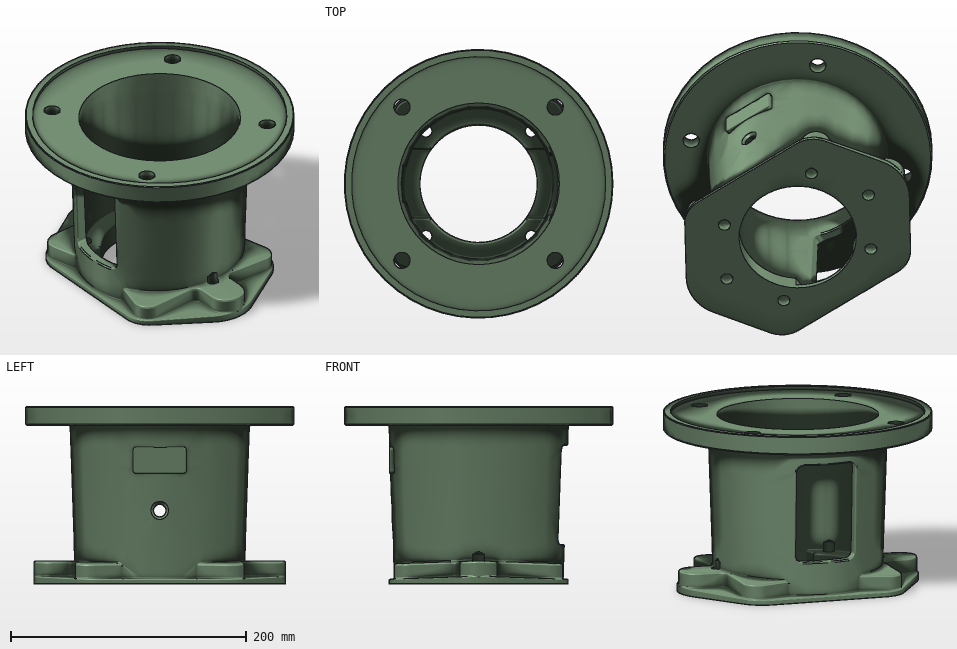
import cadquery as cq
import math

height = 150.9
touch = 0.02

flange_radius = 114.3
flange_thickness = 16.0
flange_lower_chamfer = 1.1
flange_upper_chamfer = 0.7
recess_radius = 108.1
recess_depth = 2.7
flange_hole_radius = 6.9
flange_hole_offset = 65.2
flange_joint_fillet = 1.1

wall_bottom_radius = 71.8
wall_top_radius = 76.4
cavity_bottom_radius = 63.0
cavity_top_radius = 68.8

base_draft = math.tan(math.radians(2))
plate_ridge_height = 6.6
plate_side_radius = 25.4
plate_side_x = 50.7
plate_side_y = 51.0
plate_end_radius = 37.5
plate_end_y = 107.0
plate_edge_fillet = 1.0
pilot_bore_radius = 49.8

pad_ridge_height = 19.7
pad_inner_y = 29.3
pad_corner_radius = 12.8
pad_corner_centre = 58.8
pad_side_tilt = math.radians(15)
pad_edge_fillet = 2.0
ear_radius = 15.8
ear_neck_radius = 6.5
base_joint_fillet = 1.1

bolt_hole_radius = 5.0
bolt_hole_depth = 25.1
drill_point_depth = 2.7
corner_bolt_offset = 44.8
ear_bolt_y = 73.0

window_bottom = 33.5
window_top = 118.0
window_width = 53.0
window_corner_radius = 6.0
window_rim_fillet = 1.1

port_z = 62.5
port_radius = 5.3
port_mouth_radius = 7.8

plaque_face_x = -76.0
plaque_depth = 6.0
plaque_width = 45.3
plaque_bottom = 94.0
plaque_top = 116.5
plaque_corner_radius = 2.7
plaque_edge_fillet = 1.1

flange_bottom = height - flange_thickness
window_middle = (window_bottom + window_top) / 2
plaque_middle = (plaque_bottom + plaque_top) / 2
SIGNS = (-1, 1)
CORNERS = [(sx, sy) for sx in SIGNS for sy in SIGNS]


def join(first, second, radius):
    """Fuse two solids and round the corners along which they meet."""

    def is_seam(edge):
        middle = cq.Vertex.makeVertex(*edge.positionAt(0.5).toTuple())
        if middle.Z < touch:
            return False
        return all(part.val().distance(middle) < touch for part in (first, second))

    whole = first.union(second)
    seams = [edge for edge in whole.edges().vals() if is_seam(edge)]
    return whole.newObject(seams).fillet(radius)


def cone(bottom_radius, top_radius, top_z):
    return (
        cq.Workplane("XZ")
        .polyline([(0, 0), (bottom_radius, 0), (top_radius, top_z), (0, top_z)])
        .close()
        .revolve(360, (0, 0, 0), (0, 1, 0))
    )


def flange_disc():
    return (
        cq.Workplane("XY", origin=(0, 0, flange_bottom))
        .circle(flange_radius)
        .extrude(flange_thickness)
        .faces("<Z").edges().chamfer(flange_lower_chamfer)
        .faces(">Z").edges().chamfer(flange_upper_chamfer)
    )


def flange_recess():
    return (
        cq.Workplane("XY", origin=(0, 0, height - recess_depth))
        .circle(recess_radius)
        .extrude(recess_depth)
    )


def flange_holes():
    centres = [(sx * flange_hole_offset, sy * flange_hole_offset) for sx, sy in CORNERS]
    return (
        cq.Workplane("XY", origin=(0, 0, flange_bottom))
        .pushPoints(centres)
        .circle(flange_hole_radius)
        .extrude(flange_thickness)
    )


def window():
    return (
        cq.Workplane("YZ", origin=(0, 0, window_middle))
        .rect(window_width, window_top - window_bottom)
        .extrude(flange_radius)
        .edges("|X").fillet(window_corner_radius)
    )


def housing():
    outside = cone(wall_bottom_radius, wall_top_radius, flange_bottom).union(flange_disc())
    joint = cq.selectors.RadiusNthSelector(1)
    outside = outside.edges(joint).fillet(flange_joint_fillet)
    hollow = (
        outside
        .cut(cone(cavity_bottom_radius, cavity_top_radius, height))
        .cut(flange_recess())
        .cut(flange_holes())
        .cut(window())
    )
    rims = cq.selectors.BoxSelector(
        (cavity_bottom_radius / 2, -window_width / 2 - touch, window_bottom - touch),
        (wall_top_radius, window_width / 2 + touch, window_top + touch),
    )
    return hollow.edges(rims).edges("not |X").fillet(window_rim_fillet)


def roof(ridge_height):
    """Slab whose top falls away on both sides of a ridge along the Y axis."""
    side_height = ridge_height - base_draft * flange_radius
    return (
        cq.Workplane("XZ")
        .polyline([
            (-flange_radius, 0),
            (flange_radius, 0),
            (flange_radius, side_height),
            (0, ridge_height),
            (-flange_radius, side_height),
        ])
        .close()
        .extrude(flange_radius, both=True)
    )


def round_top_outline(solid, radius):
    """Round the edges around a roof-shaped top, but not its ridge or its foot."""

    def is_outline(edge):
        middle = edge.positionAt(0.5)
        return middle.z > touch and abs(middle.x) > touch

    outline = [edge for edge in solid.edges("not |Z").vals() if is_outline(edge)]
    return solid.newObject(outline).fillet(radius)


def pilot_bore():
    return cq.Workplane("XY").circle(pilot_bore_radius).extrude(pad_ridge_height)


def plate():
    discs = cq.Sketch()
    for sx, sy in CORNERS:
        discs = discs.arc((sx * plate_side_x, sy * plate_side_y), plate_side_radius, 0, 360)
    for sy in SIGNS:
        discs = discs.arc((0, sy * (plate_end_y - plate_end_radius)), plate_end_radius, 0, 360)
    blank = cq.Workplane("XY").placeSketch(discs.hull()).extrude(plate_ridge_height)
    solid = blank.intersect(roof(plate_ridge_height))
    return round_top_outline(solid, plate_edge_fillet).cut(pilot_bore())


def corner_point(angle):
    """Point on the round pad corner at +X +Y."""
    return (
        pad_corner_centre + pad_corner_radius * math.cos(angle),
        pad_corner_centre + pad_corner_radius * math.sin(angle),
    )


def pad():
    """Raised pad on the +Y side: two corner lobes joined by the ear."""
    side_x, side_y = corner_point(-pad_side_tilt)
    corner_x, corner_y = corner_point((math.radians(90) - pad_side_tilt) / 2)
    shoulder_y = pad_corner_centre + pad_corner_radius
    foot_x = side_x - (side_y - pad_inner_y) * math.tan(pad_side_tilt)
    ear_centre_y = plate_end_y - ear_radius
    neck_x = ear_radius + ear_neck_radius
    neck_y = shoulder_y + ear_neck_radius
    outline = (
        cq.Workplane("XY")
        .moveTo(-foot_x, pad_inner_y)
        .lineTo(foot_x, pad_inner_y)
        .lineTo(side_x, side_y)
        .threePointArc((corner_x, corner_y), (pad_corner_centre, shoulder_y))
        .lineTo(neck_x, shoulder_y)
        .radiusArc((ear_radius, neck_y), ear_neck_radius)
        .lineTo(ear_radius, ear_centre_y)
        .threePointArc((0, plate_end_y), (-ear_radius, ear_centre_y))
        .lineTo(-ear_radius, neck_y)
        .radiusArc((-neck_x, shoulder_y), ear_neck_radius)
        .lineTo(-pad_corner_centre, shoulder_y)
        .threePointArc((-corner_x, corner_y), (-side_x, side_y))
        .close()
    )
    solid = outline.extrude(pad_ridge_height).intersect(roof(pad_ridge_height)).cut(pilot_bore())
    return round_top_outline(solid, pad_edge_fillet)


def base():
    one_pad = join(plate(), pad(), base_joint_fillet)
    return join(one_pad, pad().mirror("XZ"), base_joint_fillet)


def bolt_holes():
    """Blind holes drilled from below, each ending in a drill point."""
    drill = (
        cq.Workplane("XZ")
        .polyline([
            (0, 0),
            (bolt_hole_radius, 0),
            (bolt_hole_radius, bolt_hole_depth),
            (0, bolt_hole_depth + drill_point_depth),
        ])
        .close()
        .revolve(360, (0, 0, 0), (0, 1, 0))
    )
    centres = [(sx * corner_bolt_offset, sy * corner_bolt_offset) for sx, sy in CORNERS]
    centres += [(0, sy * ear_bolt_y) for sy in SIGNS]
    return cq.Workplane("XY").pushPoints(centres).eachpoint(drill.val(), combine=False)


def port():
    """Bore along X from the axis outwards, opening into a 45 degree countersink."""
    mouth_x = -(wall_bottom_radius + (wall_top_radius - wall_bottom_radius) * port_z / flange_bottom)
    mouth_depth = port_mouth_radius - port_radius
    outer_x = mouth_x - mouth_depth
    return (
        cq.Workplane("XZ", origin=(0, 0, port_z))
        .polyline([
            (0, 0),
            (outer_x, 0),
            (outer_x, port_mouth_radius),
            (mouth_x, port_mouth_radius),
            (mouth_x + mouth_depth, port_radius),
            (0, port_radius),
        ])
        .close()
        .revolve(360, (0, 0, 0), (1, 0, 0))
    )


def plaque():
    return (
        cq.Workplane("YZ", origin=(plaque_face_x, 0, plaque_middle))
        .rect(plaque_width, plaque_top - plaque_bottom)
        .extrude(plaque_depth)
        .edges("|X").fillet(plaque_corner_radius)
        .faces("<X").edges().fillet(plaque_edge_fillet)
    )


result = join(base(), housing(), base_joint_fillet)
result = result.union(plaque()).cut(port()).cut(bolt_holes()).solids()